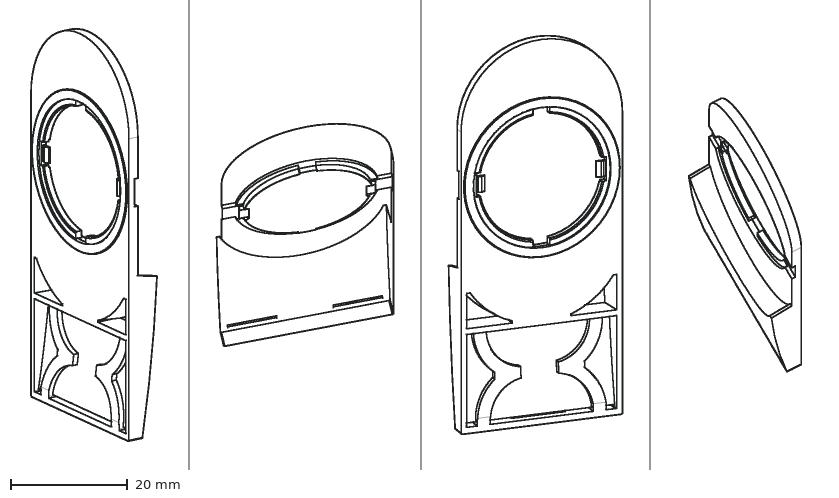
import cadquery as cq
import math

height = 69.5
width = 29.75
half_width = width / 2
plate_thickness = 1.9
corner_chamfer = 0.2

hole_center_z = 44.6
gasket_outer_radius = 14.4
gasket_inner_radius = 12.65
gasket_proud = 0.2
gasket_seat_depth = 0.7
gasket_edge_chamfer = 0.15
hole_radius = 11.4
lip_chamfer_width = 0.3
lip_chamfer_depth = 0.15
lip_front = 0.15
lip_back = 1.4
key_notch_width = 3.05
side_channel_height = 5.0
side_channel_depth = 0.7
channel_floor = plate_thickness - side_channel_depth

tab_height = 2.85
tab_clearance_height = 4.3
tab_clearance_reach = 11.95
tab_foot_x = 11.55
tab_ridge_x = 11.05
tab_tip_x = 10.3
tab_foot_front = 0.4
tab_ridge_front = 0.15
tab_tip_front = 0.55
tab_back = 0.8

hood_depth = 5.85
hood_top_z = 29.55
hood_tip_z = 28.7
hood_bottom_depth = 2.8
hood_bulge = 0.4
window_wall = 2.2
pocket_wall = 0.7
hood_top_slope = (hood_top_z - hood_tip_z) / (hood_depth - plate_thickness)
hood_arc_center_z = 34.4
hood_inner_radius = 16.0
hood_inner_slope = 0.1
hood_outer_radius = 15.0

cavity_half_width = 13.8
cavity_draft = 0.1
window_bottom_z = 1.2
window_top_z = 17.95
rib_top_z = 19.0
pocket_top_z = 25.4
pocket_inner_x = 5.4
slot_height = 0.5
slot_bridge_half_width = 4.95
slot_bridge_recess = 0.9

strip_raise = 1.0
strip_center_z = 9.5
strip_arc_center_x = 2.4
strip_arc_rise = 8.0
strip_inner_radius = 7.1
strip_outer_radius = 9.45
strip_tip_x = 3.5
strip_waist_x = 8.3

overshoot = 0.7


def front_plane(y):
    """Workplane parallel to the plate's front at depth y, with local axes X and Z."""
    return cq.Workplane("XZ", origin=(0, y, 0))


def block(x_range, y_range, z_range):
    """Box given by its lower and upper limit along each axis."""
    corner = (x_range[0], y_range[0], z_range[0])
    size = [limits[1] - limits[0] for limits in (x_range, y_range, z_range)]
    return cq.Workplane("XY").box(*size, centered=False).translate(corner)


def disc(radius, y_start, y_end):
    """Round disc on the hole axis between two depths."""
    return front_plane(y_start).center(0, hole_center_z).circle(radius).extrude(y_start - y_end)


def tilted_cylinder(radius, slope):
    """Cylinder through the arc centre on the plate's front; its axis falls by slope per unit of depth."""
    axis = cq.Vector(0, 1, -slope)
    cylinder_length = 2 * hood_depth
    start = cq.Vector(0, 0, hood_arc_center_z) - axis * (cylinder_length / 4)
    return cq.Workplane(cq.Solid.makeCylinder(radius, cylinder_length, start, axis))


def back_profile(shift):
    """Side profile from the front plane to the curved back, with the back moved forward by shift."""
    bottom = (hood_bottom_depth - shift, 0)
    top = (hood_depth - shift, hood_tip_z)
    middle = ((bottom[0] + top[0]) / 2 + hood_bulge, (bottom[1] + top[1]) / 2)
    front = -hood_depth
    return (
        cq.Workplane("YZ", origin=(-half_width, 0, 0))
        .moveTo(front, 0)
        .lineTo(*bottom)
        .threePointArc(middle, top)
        .lineTo(plate_thickness - shift, hood_top_z)
        .lineTo(front, hood_top_z)
        .close()
        .extrude(width)
    )


def make_plate():
    arc_z = height - half_width
    plate = (
        front_plane(0)
        .moveTo(-half_width, 0)
        .lineTo(half_width, 0)
        .lineTo(half_width, arc_z)
        .threePointArc((0, height), (-half_width, arc_z))
        .close()
        .extrude(-plate_thickness)
    )
    return plate


def make_hood():
    hood = back_profile(0).intersect(
        block((-half_width, half_width), (0, hood_depth), (0, hood_top_z))
    )
    behind_plate = block(
        (-half_width, half_width), (plate_thickness, 2 * hood_depth), (0, height)
    )
    return hood.cut(tilted_cylinder(hood_outer_radius, hood_top_slope).intersect(behind_plate))


def make_cavity():
    """Window and corner pockets, drafted at the sides and closed by the curved back wall."""
    back_half_width = cavity_half_width - cavity_draft * hood_depth
    room = (
        cq.Workplane("XY", origin=(0, 0, window_bottom_z))
        .polyline([
            (-cavity_half_width, 0),
            (cavity_half_width, 0),
            (back_half_width, hood_depth),
            (-back_half_width, hood_depth),
        ])
        .close()
        .extrude(pocket_top_z - window_bottom_z)
    )
    full_width = (-half_width, half_width)
    full_depth = (0, hood_depth)
    below_rib = block(full_width, full_depth, (window_bottom_z, window_top_z))
    above_rib = block(full_width, full_depth, (rib_top_z, pocket_top_z))
    middle = block((-pocket_inner_x, pocket_inner_x), full_depth, (rib_top_z, pocket_top_z))
    arched_wall = tilted_cylinder(hood_inner_radius, hood_inner_slope)
    window = room.intersect(below_rib).intersect(back_profile(window_wall))
    pockets = room.intersect(above_rib).intersect(back_profile(pocket_wall))
    return window.union(pockets.cut(middle).cut(arched_wall))


def make_bottom_slots():
    """Slots through the back wall along the bottom of the window, left and right of a bridge.

    The bridge itself is set back from the floor of the window.
    """
    z_range = (window_bottom_z, window_bottom_z + slot_height)
    y_range = (0, hood_depth)
    slot_end_x = cavity_half_width - cavity_draft * hood_bottom_depth
    slots = block((-slot_end_x, slot_end_x), y_range, z_range)
    bridge_span = block((-slot_bridge_half_width, slot_bridge_half_width), y_range, z_range)
    bridge = bridge_span.cut(back_profile(window_wall - slot_bridge_recess))
    return slots.cut(bridge)


def strip_outline(side):
    """Outline of one strip: two arcs on each long side, meeting at a waist and at a blunt tip."""
    def arc_points(radius, flat_x):
        reach = flat_x - strip_arc_center_x
        end_angle = math.acos(reach / radius)
        half_angle = end_angle / 2
        end = (flat_x, strip_arc_rise - radius * math.sin(end_angle))
        middle = (
            strip_arc_center_x + radius * math.cos(half_angle),
            strip_arc_rise - radius * math.sin(half_angle),
        )
        start = (strip_arc_center_x + radius, strip_arc_rise)
        return start, middle, end

    def place(point, direction):
        return (side * point[0], strip_center_z + direction * point[1])

    outer_start, outer_middle, outer_end = arc_points(strip_outer_radius, strip_waist_x)
    inner_start, inner_middle, inner_end = arc_points(strip_inner_radius, strip_tip_x)
    top_z = (window_top_z + rib_top_z) / 2
    bottom_z = window_bottom_z / 2
    return (
        front_plane(0)
        .moveTo(side * outer_start[0], top_z)
        .lineTo(*place(outer_start, 1))
        .threePointArc(place(outer_middle, 1), place(outer_end, 1))
        .lineTo(*place(outer_end, -1))
        .threePointArc(place(outer_middle, -1), place(outer_start, -1))
        .lineTo(side * outer_start[0], bottom_z)
        .lineTo(side * inner_start[0], bottom_z)
        .lineTo(*place(inner_start, -1))
        .threePointArc(place(inner_middle, -1), place(inner_end, -1))
        .lineTo(*place(inner_end, 1))
        .threePointArc(place(inner_middle, 1), place(inner_start, 1))
        .lineTo(side * inner_start[0], top_z)
        .close()
    )


def make_strip(side):
    """Strip raised from the back wall; its foot is level with the plate's front."""
    blank = strip_outline(side).extrude(-hood_depth)
    in_front_of_strip = back_profile(window_wall + strip_raise)
    up_to_wall_middle = back_profile(window_wall / 2)
    return blank.intersect(up_to_wall_middle).cut(in_front_of_strip)


def make_hole():
    """Gasket seat, through hole with a lip recessed on both sides, and the two key notches."""
    through = plate_thickness + overshoot
    lip_edge_radius = hole_radius + lip_chamfer_width
    lip_edge = front_plane(lip_front).center(0, hole_center_z).circle(lip_edge_radius)
    lip_cone = lip_edge.workplane(offset=-lip_chamfer_depth).circle(hole_radius).loft()
    key_notches = block(
        (-key_notch_width / 2, key_notch_width / 2),
        (0, through),
        (hole_center_z - gasket_inner_radius, hole_center_z + gasket_inner_radius),
    ).intersect(disc(gasket_inner_radius, 0, through))
    seat = disc(gasket_outer_radius, 0, gasket_seat_depth).cut(
        disc(gasket_inner_radius, 0, gasket_seat_depth)
    )
    return (
        disc(hole_radius, 0, through)
        .union(disc(gasket_inner_radius, 0, lip_front))
        .union(disc(gasket_inner_radius, lip_back, through))
        .union(lip_cone)
        .union(key_notches)
        .union(seat)
    )


def make_side_openings():
    """Channel across the back of the plate and the clearance around the snap tabs."""
    channel = block(
        (-half_width, half_width),
        (channel_floor, plate_thickness),
        (hole_center_z - side_channel_height / 2, hole_center_z + side_channel_height / 2),
    )
    clearance = block(
        (-tab_clearance_reach, tab_clearance_reach),
        (0, plate_thickness),
        (hole_center_z - tab_clearance_height / 2, hole_center_z + tab_clearance_height / 2),
    )
    return channel.union(clearance)


def make_tab(side):
    """Snap tab with a ridge at the front and a ramp toward the middle of the hole."""
    root_x = (tab_clearance_reach + gasket_inner_radius) / 2
    profile = [
        (root_x, tab_foot_front),
        (tab_foot_x, tab_foot_front),
        (tab_ridge_x, tab_ridge_front),
        (tab_tip_x, tab_tip_front),
        (tab_tip_x, tab_back),
        (root_x, tab_back),
    ]
    return (
        cq.Workplane("XY", origin=(0, 0, hole_center_z - tab_height / 2))
        .polyline([(side * x, y) for x, y in profile])
        .close()
        .extrude(tab_height)
    )


def make_holder():
    holder = make_plate().union(make_hood())
    holder = holder.edges("|Y and <Z").chamfer(corner_chamfer)
    holder = holder.cut(make_cavity()).cut(make_bottom_slots())
    holder = holder.cut(make_hole()).cut(make_side_openings())
    for side in (-1, 1):
        holder = holder.union(make_strip(side)).union(make_tab(side))
    return holder


def make_gasket():
    ring = disc(gasket_outer_radius, -gasket_proud, gasket_seat_depth)
    ring = ring.faces("<Y").edges().chamfer(gasket_edge_chamfer)
    return ring.cut(disc(gasket_inner_radius, -gasket_proud, gasket_seat_depth))


holder = make_holder()
gasket = make_gasket()
result = cq.Compound.makeCompound([holder.solids().val(), gasket.solids().val()])